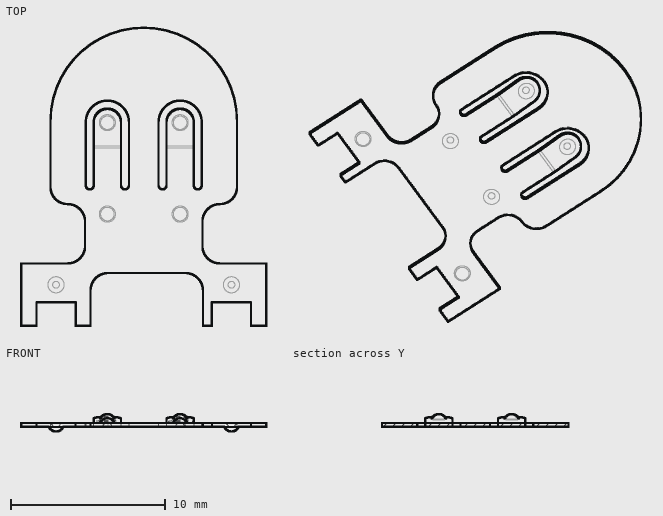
import cadquery as cq
import math

thickness = 0.25

total_length = 19.3
head_radius = 6.05
head_base_y = 7.87
neck_half_width = 3.8
corner_radius = (head_radius - neck_half_width) / 2
foot_top_y = 4.05
foot_half_span = 7.93

opening_left_x = -3.44
opening_right_x = 3.82
opening_top_y = 3.42
notch_inner_x = 4.4
notch_width = 2.53
notch_depth = 1.52

tongue_x = 2.35
tongue_radius = 0.89
slot_width = 0.5
slot_outer_radius = tongue_radius + slot_width
slot_center_y = 13.18
slot_bottom_y = 8.84
bend_start_y = 11.5
bend_angle = 9.7
bend_inner_radius = 0.77
tilted_length = 1.55

crown_radius = 0.5
blend_radius = 0.1
dome_height = 0.3
body_dome_y = 7.24
foot_dome_x = 5.67
foot_dome_y = 2.66


def plate_outline():
    """Sheet outline without slots, notches or the opening."""
    head_center_y = total_length - head_radius
    r = corner_radius
    inset = r * (1 - math.sqrt(0.5))
    neck_edge = neck_half_width
    head_45 = head_radius * math.sqrt(0.5)
    half = (
        cq.Workplane("XY")
        .moveTo(0, 0)
        .lineTo(foot_half_span, 0)
        .lineTo(foot_half_span, foot_top_y)
        .lineTo(neck_edge + r, foot_top_y)
        .threePointArc((neck_edge + inset, foot_top_y + inset), (neck_edge, foot_top_y + r))
        .lineTo(neck_edge, head_base_y - r)
        .threePointArc((neck_edge + inset, head_base_y - inset), (neck_edge + r, head_base_y))
        .threePointArc((head_radius - inset, head_base_y + inset), (head_radius, head_base_y + r))
        .lineTo(head_radius, head_center_y)
        .threePointArc((head_45, head_center_y + head_45), (0, total_length))
        .close()
        .extrude(thickness)
    )
    return half.union(half.mirror("YZ"))


def box_cut(x_min, x_max, y_max):
    """Block open toward the feet, reaching up to y_max."""
    return (
        cq.Workplane("XY")
        .rect(x_max - x_min, 2 * y_max)
        .extrude(thickness)
        .translate(((x_min + x_max) / 2, 0, 0))
    )


def foot_opening():
    block = box_cut(opening_left_x, opening_right_x, opening_top_y)
    return block.edges("|Z and >Y").fillet(corner_radius)


def arched_window(radius, bottom_y):
    """Straight-sided window with a round top, centred on X = 0."""
    straight = slot_center_y - bottom_y
    body = (
        cq.Workplane("XY")
        .center(0, bottom_y + straight / 2)
        .rect(2 * radius, straight)
        .extrude(thickness)
    )
    arch = cq.Workplane("XY").center(0, slot_center_y).circle(radius).extrude(thickness)
    return body.union(arch)


def tongue_window():
    """U slot with round lower ends, also clearing the flat sheet beyond the bend."""
    end_radius = slot_width / 2
    end_y = slot_bottom_y + end_radius
    end_x = tongue_radius + end_radius
    flat_root = (
        cq.Workplane("XY")
        .center(0, (end_y + bend_start_y) / 2)
        .rect(2 * tongue_radius, bend_start_y - end_y)
        .extrude(thickness)
    )
    ends = (
        cq.Workplane("XY")
        .pushPoints([(-end_x, end_y), (end_x, end_y)])
        .circle(end_radius)
        .extrude(thickness)
    )
    return arched_window(slot_outer_radius, end_y).cut(flat_root).union(ends)


def dome_shapes():
    """Bulge and hollow of a dome rising from the sheet face at Z = 0."""
    reach = crown_radius + blend_radius
    crown_z = dome_height - crown_radius
    rim_radius = math.sqrt(reach**2 - (blend_radius - crown_z) ** 2)
    slope = math.atan2(blend_radius - crown_z, rim_radius)

    def revolved(face_z, sphere, blend):
        """Solid from the sheet face up through the blend to the crown."""

        def on_sphere(angle):
            return sphere * math.cos(angle), crown_z + sphere * math.sin(angle)

        mid_angle = (slope + math.pi / 2) / 2
        blend_point = (
            rim_radius - blend * math.cos(mid_angle),
            blend_radius - blend * math.sin(mid_angle),
        )
        return (
            cq.Workplane("XZ")
            .moveTo(0, face_z)
            .lineTo(rim_radius, face_z)
            .threePointArc(blend_point, on_sphere(slope))
            .threePointArc(on_sphere(mid_angle), (0, crown_z + sphere))
            .close()
            .revolve(360, (0, 0, 0), (0, 1, 0))
        )

    bulge = revolved(0, crown_radius, blend_radius)
    hollow = revolved(-thickness, crown_radius - thickness, blend_radius + thickness)
    return bulge, hollow


def press_dome(sheet, x, y, upward=True):
    """Press a dome into the flat sheet, out of its top or its underside."""
    for shape, is_hollow in zip(dome_shapes(), (False, True)):
        if upward:
            placed = shape.translate((x, y, thickness))
        else:
            placed = shape.rotate((0, 0, 0), (1, 0, 0), 180).translate((x, y, 0))
        sheet = sheet.cut(placed) if is_hollow else sheet.union(placed)
    return sheet


def bent_tongue():
    """Bend, tilted blade and its dome, starting at the flat root of a tongue."""
    axis_z = thickness + bend_inner_radius
    axis_height = axis_z - thickness / 2
    bend = (
        cq.Workplane("XZ", origin=(0, bend_start_y, 0))
        .center(0, thickness / 2)
        .rect(2 * tongue_radius, thickness)
        .revolve(bend_angle, (-0.2, axis_height), (0.2, axis_height))
    )
    blade = (
        cq.Workplane("XY")
        .center(0, tilted_length / 2)
        .rect(2 * tongue_radius, tilted_length)
        .extrude(thickness)
        .union(cq.Workplane("XY").center(0, tilted_length).circle(tongue_radius).extrude(thickness))
    )
    blade = (
        press_dome(blade, 0, tilted_length)
        .translate((0, bend_start_y, 0))
        .rotate((0, bend_start_y, axis_z), (1, bend_start_y, axis_z), bend_angle)
    )
    return bend.union(blade)


sheet = plate_outline().cut(foot_opening())
for side in (-1, 1):
    notch_edges = sorted((side * notch_inner_x, side * (notch_inner_x + notch_width)))
    sheet = sheet.cut(box_cut(*notch_edges, notch_depth))
    sheet = sheet.cut(tongue_window().translate((side * tongue_x, 0, 0)))
    sheet = sheet.union(bent_tongue().translate((side * tongue_x, 0, 0)))
    sheet = press_dome(sheet, side * tongue_x, body_dome_y)
    sheet = press_dome(sheet, side * foot_dome_x, foot_dome_y, upward=False)

result = sheet